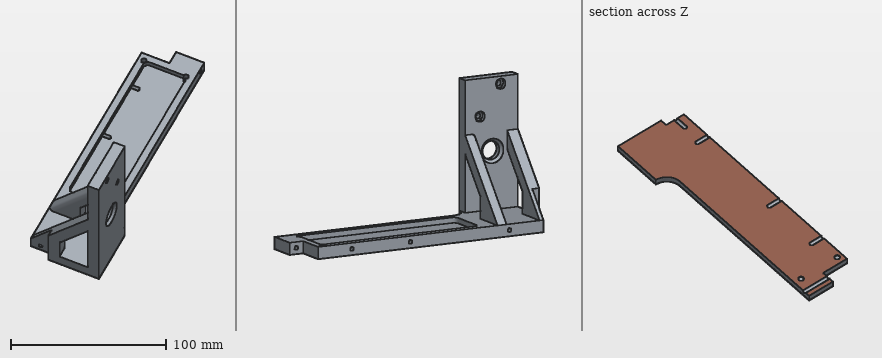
import cadquery as cq

width = 51.0
length = 181.0
height = 95.5
plate_thickness = 8.1

wall_thickness = 8.0
wall_length = 39.0
wall_face_x = width - wall_thickness

arm_width = 40.0
tab_start_x = 20.0
tab_length = 10.0
corner_radius = width - arm_width
front_notch_width = 14.8
front_notch_depth = 5.0

rib_thickness = 8.0
rib_top_z = 59.4
rib_rounding = 3.0
rib_rise = rib_top_z - plate_thickness
window_start_x = 23.0
window_top_z = 46.9

pocket_x_min = 5.0
pocket_width = 30.0
pocket_y_min = 50.1
pocket_length = 116.0
pocket_depth = 3.6
pocket_radius = 3.3
relief_radius = 1.72
relief_depth = 4.3
relief_offset_x = 0.9
relief_offset_y = 0.4

drill_radius = 1.3
drill_depth = 10.0
drill_tip = 0.7
drill_z = 4.2
side_hole_ys = (30.0, 103.0, 146.0)
front_hole_x = 6.9
tab_hole_y = length - tab_length / 2

screw_points = ((12.7, 90.5), (27.9, 70.4))
screw_radius = 1.8
head_radius = 3.5
head_depth = 3.0
bore_y = 18.8
bore_z = 46.9
bore_radius = 6.2
bore_chamfer = 2.0


def make_arm():
    """Flat arm with its end tab and the concave corner beside the wall."""
    return (
        cq.Workplane("XY")
        .lineTo(width, 0)
        .lineTo(width, wall_length)
        .radiusArc((arm_width, wall_length + corner_radius), corner_radius)
        .lineTo(arm_width, length)
        .lineTo(tab_start_x, length)
        .lineTo(tab_start_x, length - tab_length)
        .lineTo(0, length - tab_length)
        .close()
        .extrude(plate_thickness)
    )


def make_rib(y_min):
    """Triangular rib standing on the arm, spanning rib_thickness from y_min."""
    outline = [(0, 0), (0, plate_thickness), (wall_face_x, rib_top_z), (wall_face_x, 0)]
    return (
        cq.Workplane("XZ", origin=(0, y_min, 0))
        .polyline(outline)
        .close()
        .extrude(-rib_thickness)
    )


def make_rear_rib():
    """Rib at the back of the wall, its sloping inner edge rounded."""
    y_min = wall_length - rib_thickness
    slope_middle = (wall_face_x / 2, y_min, plate_thickness + rib_rise / 2)
    return (
        make_rib(y_min)
        .edges(cq.selectors.NearestToPointSelector(slope_middle))
        .fillet(rib_rounding)
    )


def make_window():
    """Four-sided opening through both ribs, its upper side parallel to the slope."""
    window_left_z = window_top_z - rib_rise / wall_face_x * (wall_face_x - window_start_x)
    outline = [
        (window_start_x, plate_thickness),
        (wall_face_x, plate_thickness),
        (wall_face_x, window_top_z),
        (window_start_x, window_left_z),
    ]
    return cq.Workplane("XZ").polyline(outline).close().extrude(-wall_length)


def make_pocket():
    """Shallow pocket with rounded corners and two corner relief holes."""
    pocket = (
        cq.Workplane("XY", origin=(pocket_x_min, pocket_y_min, plate_thickness - pocket_depth))
        .rect(pocket_width, pocket_length, centered=False)
        .extrude(pocket_depth)
        .edges("|Z")
        .fillet(pocket_radius)
    )
    relief_xs = (pocket_x_min - relief_offset_x, pocket_x_min + pocket_width - relief_offset_x)
    relief_y = pocket_y_min + pocket_length - relief_offset_y
    reliefs = (
        cq.Workplane("XY", origin=(0, relief_y, plate_thickness))
        .pushPoints([(x, 0) for x in relief_xs])
        .circle(relief_radius)
        .extrude(-relief_depth)
    )
    return pocket.union(reliefs)


def make_drill(point, direction):
    """Blind drilled hole with a conical tip."""
    start = cq.Vector(*point)
    axis = cq.Vector(*direction)
    shaft = cq.Solid.makeCylinder(drill_radius, drill_depth, start, axis)
    tip = cq.Solid.makeCone(drill_radius, 0, drill_tip, start + axis * drill_depth, axis)
    return cq.Workplane(shaft).union(cq.Workplane(tip))


def make_x_cylinder(x_start, y, z, radius, depth):
    """Cylinder running toward +X."""
    return cq.Workplane("YZ", origin=(x_start, y, z)).circle(radius).extrude(depth)


def make_wall_holes():
    """Two counterbored screw holes and one large bore chamfered at both ends."""
    cutter = make_x_cylinder(wall_face_x, bore_y, bore_z, bore_radius, wall_thickness)
    for face_x, inward in ((wall_face_x, 1), (width, -1)):
        chamfer = cq.Solid.makeCone(
            bore_radius + bore_chamfer,
            bore_radius,
            bore_chamfer,
            cq.Vector(face_x, bore_y, bore_z),
            cq.Vector(inward, 0, 0),
        )
        cutter = cutter.union(cq.Workplane(chamfer))
    for y, z in screw_points:
        cutter = cutter.union(make_x_cylinder(wall_face_x, y, z, screw_radius, wall_thickness))
        cutter = cutter.union(make_x_cylinder(wall_face_x, y, z, head_radius, head_depth))
    return cutter


wall = cq.Workplane("XY").box(wall_thickness, wall_length, height, centered=False)
wall = wall.translate((wall_face_x, 0, 0))
front_notch = cq.Workplane("XY").box(front_notch_width, front_notch_depth, height, centered=False)

result = make_arm().union(make_rib(0)).union(make_rear_rib())
result = result.cut(make_window()).union(wall)
result = result.cut(front_notch).cut(make_pocket()).cut(make_wall_holes())

for hole_y in side_hole_ys:
    result = result.cut(make_drill((0, hole_y, drill_z), (1, 0, 0)))
result = result.cut(make_drill((front_hole_x, front_notch_depth, drill_z), (0, 1, 0)))
result = result.cut(make_x_cylinder(tab_start_x, tab_hole_y, drill_z, drill_radius, arm_width - tab_start_x))